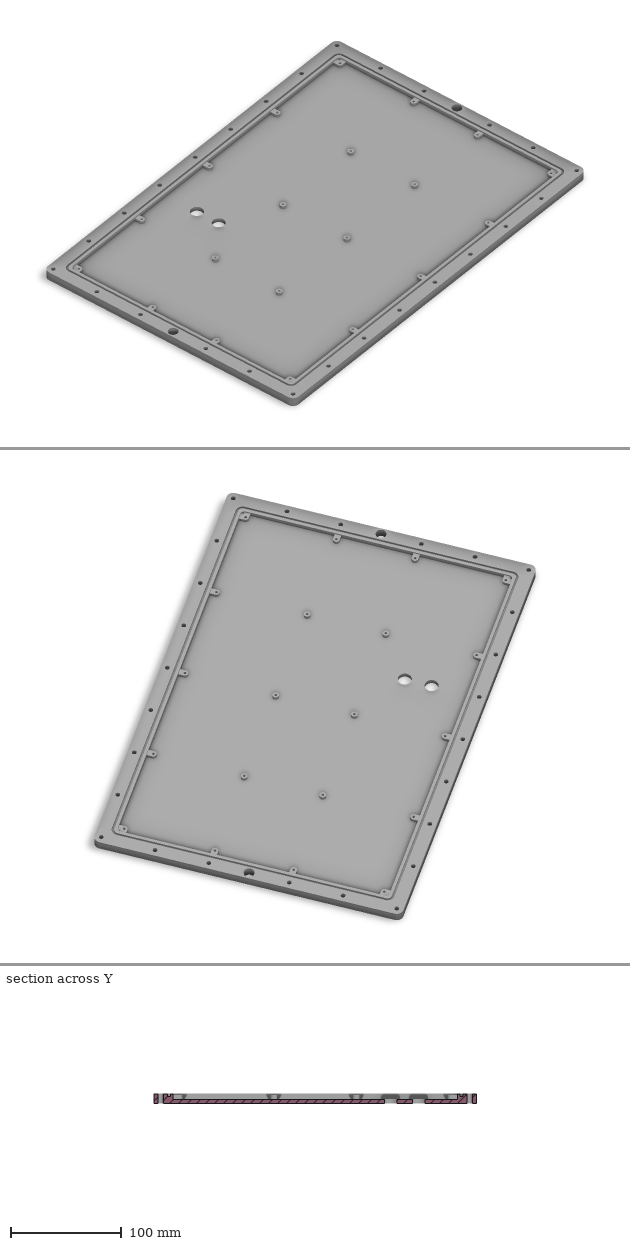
import cadquery as cq
import math

LENGTH_X = 291.97
LENGTH_Y = 418.97
THICKNESS = 9.14
CORNER_RADIUS = 6.35

HOLE_PITCH = 50.8
SCREW_HOLE_DIAMETER = 4.38
SCREW_X = 2.75 * HOLE_PITCH
SCREW_Y = 4 * HOLE_PITCH
SIDE_HOLE_COUNT = 9
END_HOLES_PER_HALF = 3
DOWEL_DIAMETER = 9.8

GROOVE_INSET = 12.5
GROOVE_WIDTH = 2.2
GROOVE_DEPTH = 2.1
GROOVE_OUTER_RADIUS = 6.5

LIP_WIDTH = 2.8
POCKET_INSET = GROOVE_INSET + GROOVE_WIDTH + LIP_WIDTH
POCKET_DEPTH = 4.7
POCKET_RADIUS = 3.8
FLOOR_Z = THICKNESS - POCKET_DEPTH

BOSS_DIAMETER = 6.1
BOSS_HEIGHT = 3.2
BOSS_HOLE_DIAMETER = 2.5
BOSS_INNER_X = 37.2
BOSS_OUTER_X = 123.0
BOSS_MIDDLE_Y = 97.0
BOSS_OUTER_Y = 186.9

CABLE_HOLE_DIAMETER = 12.7
CABLE_HOLE_X = (-93.7, -68.3)
CABLE_HOLE_Y = -54.0


def rounded_block(inset, radius, bottom_z, height):
    """Block following the plate outline at a given inset."""
    block = cq.Workplane("XY").workplane(offset=bottom_z)
    block = block.rect(LENGTH_X - 2 * inset, LENGTH_Y - 2 * inset).extrude(height)
    return block.edges("|Z").fillet(radius)


def cylinders(points, diameter, bottom_z, height):
    """Upright cylinders at the given points."""
    base = cq.Workplane("XY").workplane(offset=bottom_z)
    return base.pushPoints(points).circle(diameter / 2).extrude(height)


def through_cylinders(points, diameter):
    """Cutters running the full plate thickness."""
    return cylinders(points, diameter, 0, THICKNESS)


def groove():
    """Closed ring cutter for the seal groove."""
    bottom_z = THICKNESS - GROOVE_DEPTH
    outer = rounded_block(GROOVE_INSET, GROOVE_OUTER_RADIUS, bottom_z, GROOVE_DEPTH)
    inner_radius = GROOVE_OUTER_RADIUS - GROOVE_WIDTH
    inner = rounded_block(GROOVE_INSET + GROOVE_WIDTH, inner_radius, bottom_z, GROOVE_DEPTH)
    return outer.cut(inner)


def screw_points():
    """Rim screw positions: both long sides, then the ends between the corners."""
    points = []
    for side in (-1, 1):
        for index in range(SIDE_HOLE_COUNT):
            points.append((side * SCREW_X, index * HOLE_PITCH - SCREW_Y))
        for index in range(1, END_HOLES_PER_HALF):
            x = SCREW_X - index * HOLE_PITCH
            points.append((x, side * SCREW_Y))
            points.append((-x, side * SCREW_Y))
    return points


def boss_points():
    """Grid of standoff positions."""
    xs = (-BOSS_OUTER_X, -BOSS_INNER_X, BOSS_INNER_X, BOSS_OUTER_X)
    ys = (-BOSS_OUTER_Y, -BOSS_MIDDLE_Y, 0, BOSS_MIDDLE_Y, BOSS_OUTER_Y)
    return [(x, y) for x in xs for y in ys]


def floor_web(x, y, size_x, size_y):
    """Straight web of standoff height on the pocket floor, centred on x, y."""
    base = cq.Workplane("XY").workplane(offset=FLOOR_Z)
    return base.center(x, y).rect(size_x, size_y).extrude(BOSS_HEIGHT)


def wall_webs():
    """Webs joining the outer standoffs to the nearest pocket walls."""
    gap_x = LENGTH_X / 2 - POCKET_INSET - BOSS_OUTER_X
    gap_y = LENGTH_Y / 2 - POCKET_INSET - BOSS_OUTER_Y
    webs = []
    for x, y in boss_points():
        if abs(x) == BOSS_OUTER_X:
            web_x = math.copysign(BOSS_OUTER_X + gap_x / 2, x)
            webs.append(floor_web(web_x, y, gap_x, BOSS_DIAMETER))
        if abs(y) == BOSS_OUTER_Y:
            web_y = math.copysign(BOSS_OUTER_Y + gap_y / 2, y)
            webs.append(floor_web(x, web_y, BOSS_DIAMETER, gap_y))
    return webs


plate = rounded_block(0, CORNER_RADIUS, 0, THICKNESS)
plate = plate.cut(groove())
plate = plate.cut(rounded_block(POCKET_INSET, POCKET_RADIUS, FLOOR_Z, POCKET_DEPTH))

plate = plate.union(cylinders(boss_points(), BOSS_DIAMETER, FLOOR_Z, BOSS_HEIGHT))
for web in wall_webs():
    plate = plate.union(web)
plate = plate.cut(cylinders(boss_points(), BOSS_HOLE_DIAMETER, FLOOR_Z, BOSS_HEIGHT))

plate = plate.cut(through_cylinders(screw_points(), SCREW_HOLE_DIAMETER))
plate = plate.cut(through_cylinders([(0, -SCREW_Y), (0, SCREW_Y)], DOWEL_DIAMETER))
cable_points = [(x, CABLE_HOLE_Y) for x in CABLE_HOLE_X]
result = plate.cut(through_cylinders(cable_points, CABLE_HOLE_DIAMETER))